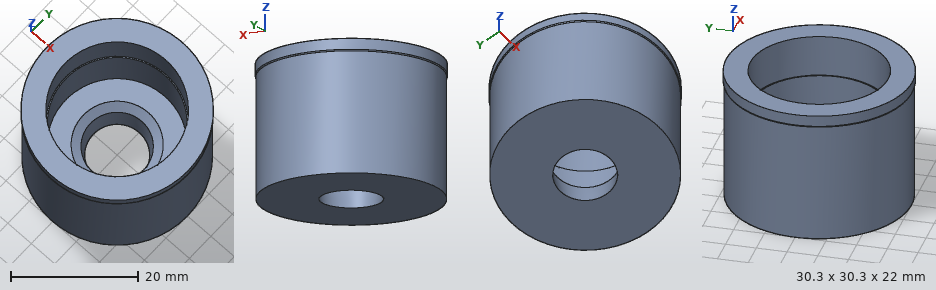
import cadquery as cq
import math

flange_radius = 15.15
body_radius = 15.03
total_height = 22.0
flange_height = 1.82
flange_taper = 0.2

bore_radius = 11.2
lower_bore_radius = 11.0
upper_bore_depth = 6.88
floor_thickness = 5.0

mouth_radius = 7.25
throat_radius = 5.7
exit_radius = 5.1
mouth_slope = math.radians(30)
mouth_depth = (mouth_radius - throat_radius) * math.tan(mouth_slope)

flange_bottom = total_height - flange_height
step_level = total_height - upper_bore_depth

profile = [
    (exit_radius, 0),
    (body_radius, 0),
    (body_radius, flange_bottom - flange_taper),
    (flange_radius, flange_bottom),
    (flange_radius, total_height),
    (bore_radius, total_height),
    (bore_radius, step_level),
    (lower_bore_radius, step_level),
    (lower_bore_radius, floor_thickness),
    (mouth_radius, floor_thickness),
    (throat_radius, floor_thickness - mouth_depth),
]
result = cq.Workplane("XZ").polyline(profile).close().revolve(360, (0, 0, 0), (0, 1, 0))